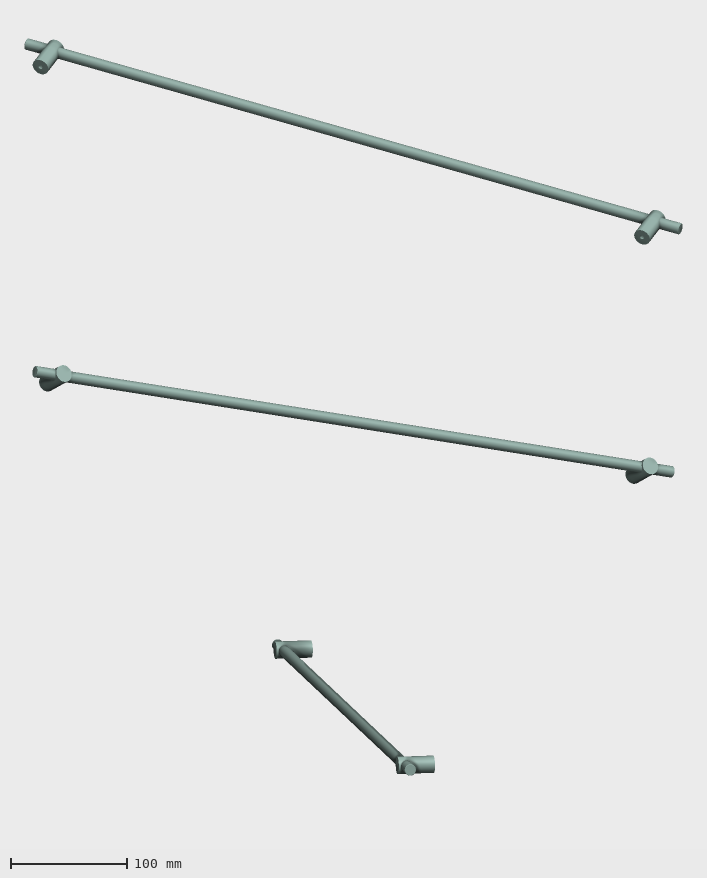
import cadquery as cq

bar_length = 622.0
bar_diameter = 10.0
bar_end_chamfer = 0.4

post_length = 32.0
post_diameter = 15.0
post_spacing = 572.0
bar_to_post_back = 7.0

screw_hole_diameter = 4.0
screw_hole_depth = 15.0

mounting_face_y = bar_to_post_back - post_length


def make_bar():
    """Round bar centred on the origin, with both ends lightly chamfered."""
    bar = cq.Workplane("YZ").circle(bar_diameter / 2).extrude(bar_length / 2, both=True)
    return bar.faces("<X or >X").chamfer(bar_end_chamfer)


def cylinder_from_mounting_face(x, diameter, length):
    """Cylinder reaching in +Y from the mounting face."""
    axis_start = cq.Vector(x, mounting_face_y, 0)
    return cq.Workplane(cq.Solid.makeCylinder(diameter / 2, length, axis_start, cq.Vector(0, 1, 0)))


post_positions = (-post_spacing / 2, post_spacing / 2)

result = make_bar()
for post_x in post_positions:
    result = result.union(cylinder_from_mounting_face(post_x, post_diameter, post_length))
for post_x in post_positions:
    result = result.cut(cylinder_from_mounting_face(post_x, screw_hole_diameter, screw_hole_depth))